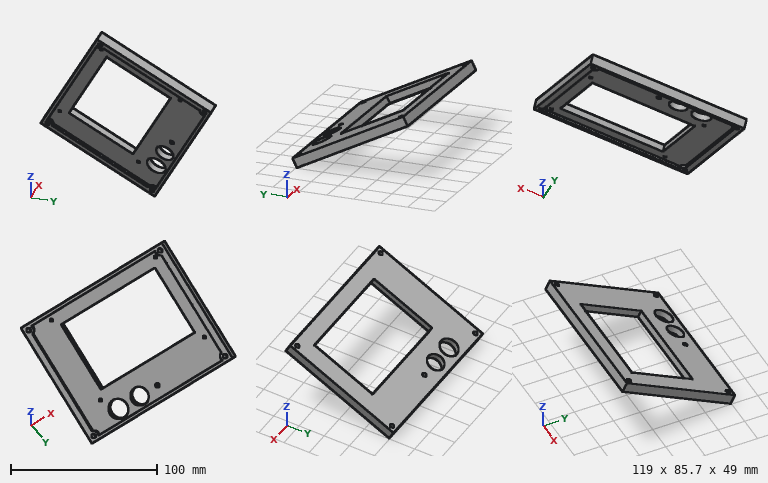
import cadquery as cq

WIDTH = 119.0
LENGTH = 92.6
THICKNESS = 7.4
TILT = 27.3

SCREW_DIAMETER = 3.0
SCREW_INSET = 3.9

RECESS_DEPTH = 2.0
RECESS_SIDE_INSET = 4.9
RECESS_END_INSET = 2.5
BOSS_RADIUS = 3.6

WINDOW_WIDTH = 79.3
WINDOW_LENGTH = 51.9
WINDOW_CENTER = (5.5, -8.1)
MOUNT_SPACING_X = 87.8
MOUNT_SPACING_Y = 64.0
MOUNT_DIAMETER = 2.0
MOUNT_DEPTH = 3.0

CONTROL_ROW_INSET = 10.8
CONTROL_HOLES = [(-30.8, 14.0), (-13.0, 13.0), (2.1, 3.0)]

control_row_y = LENGTH / 2 - CONTROL_ROW_INSET
screw_spacing_x = WIDTH - 2 * SCREW_INSET
screw_spacing_y = LENGTH - 2 * SCREW_INSET


def make_recess():
    """Recess volume with the corner bosses left out of it."""
    recess_width = WIDTH - 2 * RECESS_SIDE_INSET
    recess_length = LENGTH - 2 * RECESS_END_INSET
    recess = cq.Workplane("XY").rect(recess_width, recess_length).extrude(RECESS_DEPTH)
    bosses = (
        cq.Workplane("XY")
        .rect(screw_spacing_x, screw_spacing_y, forConstruction=True)
        .vertices()
        .circle(BOSS_RADIUS)
        .extrude(RECESS_DEPTH)
    )
    return recess.cut(bosses)


def make_screw_holes():
    return (
        cq.Workplane("XY")
        .rect(screw_spacing_x, screw_spacing_y, forConstruction=True)
        .vertices()
        .circle(SCREW_DIAMETER / 2)
        .extrude(THICKNESS)
    )


def make_window():
    return cq.Workplane("XY").center(*WINDOW_CENTER).rect(WINDOW_WIDTH, WINDOW_LENGTH).extrude(THICKNESS)


def make_mount_holes():
    """Blind holes rising from the recess floor, centred on the window."""
    return (
        cq.Workplane("XY", origin=(0, 0, RECESS_DEPTH))
        .center(*WINDOW_CENTER)
        .rect(MOUNT_SPACING_X, MOUNT_SPACING_Y, forConstruction=True)
        .vertices()
        .circle(MOUNT_DIAMETER / 2)
        .extrude(MOUNT_DEPTH)
    )


plate = cq.Workplane("XY").box(WIDTH, LENGTH, THICKNESS, centered=(True, True, False))
plate = plate.cut(make_recess())
plate = plate.cut(make_screw_holes())
plate = plate.cut(make_window())
plate = plate.cut(make_mount_holes())

for hole_x, diameter in CONTROL_HOLES:
    hole = cq.Workplane("XY").center(hole_x, control_row_y).circle(diameter / 2).extrude(THICKNESS)
    plate = plate.cut(hole)

result = plate.rotate((0, 0, 0), (1, 0, 0), -TILT)